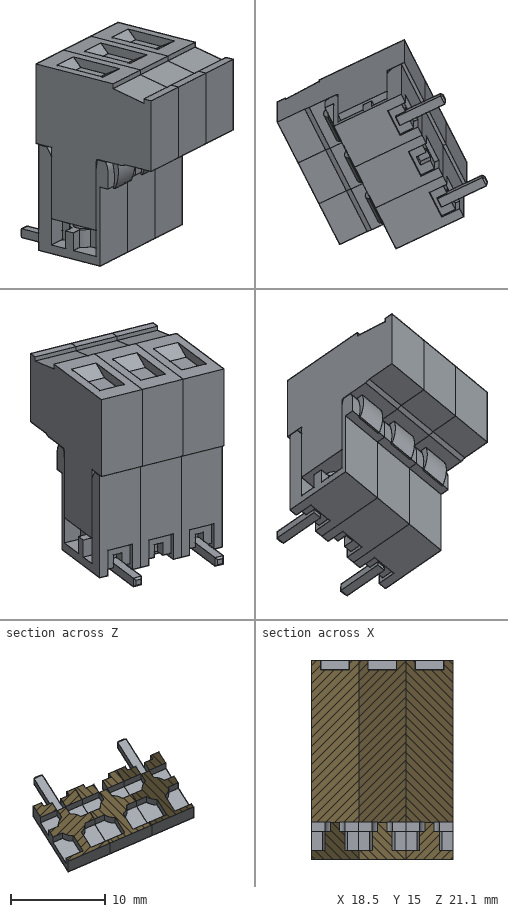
import cadquery as cq
import math

POLE_COUNT = 3
POLE_PITCH = 5.0
POLE_MIDDLE = POLE_PITCH / 2
TOTAL_HEIGHT = 21.1

BASE_LENGTH = 8.0
BASE_HEIGHT = 12.0
BACK_WALL = 1.67
FRONT_WALL = 0.5
FLOOR_THICKNESS = 1.0
CAVITY_END = BASE_LENGTH - FRONT_WALL
BACK_WALL_BEVEL_RUN = 0.61
BACK_WALL_BEVEL_DROP = 0.93
FRONT_WALL_BEVEL_RUN = 0.15
FRONT_WALL_BEVEL_DROP = 1.01

CATCH_END = 9.0
CATCH_BOTTOM = 8.99
CATCH_RADIUS = 4.0 / 2
CATCH_ROUND_START = 10.93
CATCH_ROUND_RISE = BASE_HEIGHT - CATCH_ROUND_START
CATCH_TOP_END = CATCH_END - CATCH_RADIUS + math.sqrt(CATCH_RADIUS**2 - CATCH_ROUND_RISE**2)

RIB_WIDTH = 1.01
RIB_TOP = 3.0
BOSS_DIAMETER = 2.85
POST_DIAMETER = 2.13
POST_X = BASE_LENGTH / 2

NOTCH_SIZE = 3.0
NOTCH_DEPTH = 0.5
UNDERCUT_HEIGHT = 0.5
UNDERCUT_DEPTH = 2.1
SLOT_WIDTH = RIB_WIDTH
SLOT_TOP = 2.0

PIN_POLES = (0, 2)
PIN_SIZE = SLOT_WIDTH
PIN_TIP = -3.86
PIN_CHAMFER = 0.21

PLUG_START = -0.35
PLUG_END = 14.65
HEAD_BOTTOM = 12.07
STEM_BOTTOM = 3.97
STEM_FILLET = 0.3
NOSE_BOTTOM = 12.25
NOSE_BEVEL_START = 10.87
NOSE_BEVEL_END = 11.4
HEAD_TOP_END = 9.68
SLOPE_TOP = 20.55
SLOPE_BOTTOM = 19.8
LIP_START = 13.67
LIP_TOP = 20.28

ENTRY_START = 1.67
ENTRY_FLOOR_START = 2.64
ENTRY_FLOOR_END = 5.9
ENTRY_END = 7.68
ENTRY_WIDTH = NOTCH_SIZE
ENTRY_DEPTH = 1.0

LATCH_WIDTH = NOTCH_SIZE
LATCH_BOTTOM = 8.75
LATCH_INNER = ((8.75, HEAD_BOTTOM), (9.15, 10.05), (9.0, LATCH_BOTTOM))
LATCH_OUTER = ((9.18, LATCH_BOTTOM), (9.66, 10.8), (9.47, HEAD_BOTTOM))


def box(x_range, y_range, z_range):
    """Box between two positions along each axis."""
    (x0, x1), (y0, y1), (z0, z1) = x_range, y_range, z_range
    return cq.Workplane("XY").box(x1 - x0, y1 - y0, z1 - z0, centered=False).translate((x0, y0, z0))


def middle_band(width):
    """Y range of the given width about the middle of a pole."""
    return (POLE_MIDDLE - width / 2, POLE_MIDDLE + width / 2)


def extrude_profile(profile, y_range):
    """Extrude a closed XZ profile along +Y over the given range."""
    y0, y1 = y_range
    return profile.extrude(y0 - y1).translate((0, y0, 0))


def base_channel():
    """Walls and floor of one base pole, with the catch on the front wall."""
    profile = (
        cq.Workplane("XZ")
        .moveTo(0, 0)
        .lineTo(BASE_LENGTH, 0)
        .lineTo(BASE_LENGTH, CATCH_BOTTOM)
        .lineTo(CATCH_END, CATCH_BOTTOM)
        .lineTo(CATCH_END, CATCH_ROUND_START)
        .radiusArc((CATCH_TOP_END, BASE_HEIGHT), -CATCH_RADIUS)
        .lineTo(CAVITY_END + FRONT_WALL_BEVEL_RUN, BASE_HEIGHT)
        .lineTo(CAVITY_END, BASE_HEIGHT - FRONT_WALL_BEVEL_DROP)
        .lineTo(CAVITY_END, FLOOR_THICKNESS)
        .lineTo(BACK_WALL, FLOOR_THICKNESS)
        .lineTo(BACK_WALL, BASE_HEIGHT - BACK_WALL_BEVEL_DROP)
        .lineTo(BACK_WALL - BACK_WALL_BEVEL_RUN, BASE_HEIGHT)
        .lineTo(0, BASE_HEIGHT)
        .close()
    )
    return extrude_profile(profile, (0, POLE_PITCH))


def post_cross():
    """Crossed ribs and a boss on the floor, with a round post reaching up to the plug stem."""
    long_rib = box((BACK_WALL, CAVITY_END), middle_band(RIB_WIDTH), (FLOOR_THICKNESS, RIB_TOP))
    cross_rib = box(
        (POST_X - RIB_WIDTH / 2, POST_X + RIB_WIDTH / 2), (0, POLE_PITCH), (FLOOR_THICKNESS, RIB_TOP)
    )
    axis = cq.Workplane("XY", origin=(POST_X, POLE_MIDDLE, FLOOR_THICKNESS))
    boss = axis.circle(BOSS_DIAMETER / 2).extrude(RIB_TOP - FLOOR_THICKNESS)
    post = axis.circle(POST_DIAMETER / 2).extrude(STEM_BOTTOM - FLOOR_THICKNESS)
    return long_rib.union(cross_rib).union(boss).union(post)


def pin_opening():
    """Stepped recess in the back wall: notch, undercut along the bottom and a slot above it."""
    notch = box((0, NOTCH_DEPTH), middle_band(NOTCH_SIZE), (0, NOTCH_SIZE))
    undercut = box((0, UNDERCUT_DEPTH), middle_band(NOTCH_SIZE), (0, UNDERCUT_HEIGHT))
    slot = box((0, BACK_WALL), middle_band(SLOT_WIDTH), (UNDERCUT_HEIGHT, SLOT_TOP))
    return notch.union(undercut).union(slot)


def base_pole():
    """One pole of the base."""
    return base_channel().union(post_cross()).cut(pin_opening())


def pin():
    """Square pin lying in the pin opening, with a chamfered free end."""
    bar = box((PIN_TIP, BACK_WALL), middle_band(PIN_SIZE), (0, PIN_SIZE))
    return bar.faces("<X").chamfer(PIN_CHAMFER)


def plug_body():
    """Head and stem of one plug pole."""
    profile = (
        cq.Workplane("XZ")
        .moveTo(BACK_WALL, STEM_BOTTOM)
        .lineTo(CAVITY_END, STEM_BOTTOM)
        .lineTo(CAVITY_END, HEAD_BOTTOM - STEM_FILLET)
        .radiusArc((CAVITY_END + STEM_FILLET, HEAD_BOTTOM), STEM_FILLET)
        .lineTo(NOSE_BEVEL_START, HEAD_BOTTOM)
        .lineTo(NOSE_BEVEL_END, NOSE_BOTTOM)
        .lineTo(PLUG_END, NOSE_BOTTOM)
        .lineTo(PLUG_END, LIP_TOP)
        .lineTo(LIP_START, LIP_TOP)
        .lineTo(LIP_START, SLOPE_BOTTOM)
        .lineTo(HEAD_TOP_END, SLOPE_TOP)
        .lineTo(HEAD_TOP_END, TOTAL_HEIGHT)
        .lineTo(PLUG_START, TOTAL_HEIGHT)
        .lineTo(PLUG_START, HEAD_BOTTOM)
        .lineTo(BACK_WALL, HEAD_BOTTOM)
        .close()
    )
    return extrude_profile(profile, (0, POLE_PITCH))


def wire_entry():
    """Funnel with a flat floor and two sloped ends, sunk into the plug top."""
    profile = cq.Workplane("XZ").polyline(
        [
            (ENTRY_START, TOTAL_HEIGHT),
            (ENTRY_FLOOR_START, TOTAL_HEIGHT - ENTRY_DEPTH),
            (ENTRY_FLOOR_END, TOTAL_HEIGHT - ENTRY_DEPTH),
            (ENTRY_END, TOTAL_HEIGHT),
        ]
    ).close()
    return extrude_profile(profile, middle_band(ENTRY_WIDTH))


def latch():
    """Crescent arm bounded by two arcs, with a narrow flat tip."""
    inner_top, inner_middle, inner_tip = LATCH_INNER
    outer_tip, outer_middle, outer_top = LATCH_OUTER
    profile = (
        cq.Workplane("XZ")
        .moveTo(*inner_top)
        .threePointArc(inner_middle, inner_tip)
        .lineTo(*outer_tip)
        .threePointArc(outer_middle, outer_top)
        .close()
    )
    return extrude_profile(profile, middle_band(LATCH_WIDTH))


def plug_pole():
    """One pole of the plug."""
    return plug_body().cut(wire_entry()).union(latch())


bodies = []
for pole in range(POLE_COUNT):
    pole_offset = (0, pole * POLE_PITCH, 0)
    bodies.append(base_pole().translate(pole_offset).solids().val())
    bodies.append(plug_pole().translate(pole_offset).solids().val())
    if pole in PIN_POLES:
        bodies.append(pin().translate(pole_offset).solids().val())

result = cq.Compound.makeCompound(bodies)